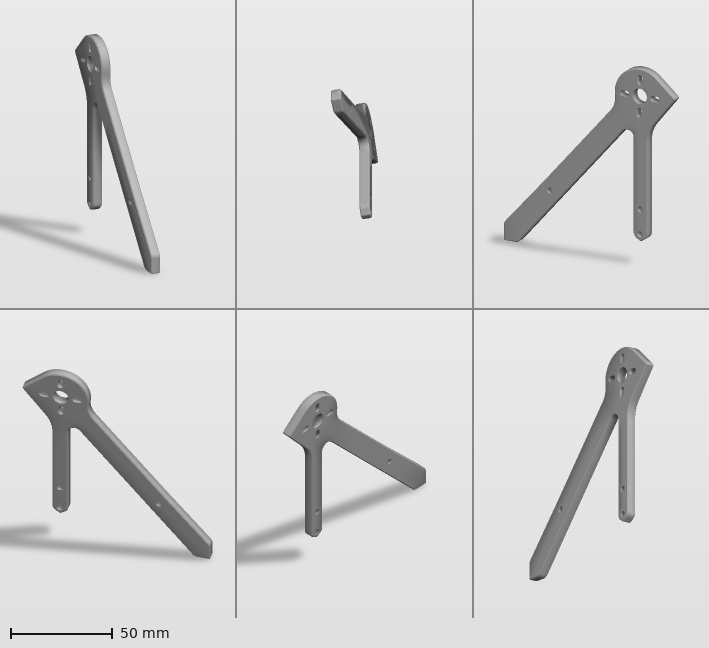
import cadquery as cq
import math

thickness = 5.0
edge_chamfer = 0.5

head_radius = 14.25
pivot_diameter = 8.0
corner_x, corner_z = -19.96, 1.48
corner_radius = 1.0
head_arc_end_angle = 134.5
head_lower_angle = 39.1

screw_diameter = 3.05
slot_length = 5.05
slot_offset = 8.5
slot_count = 4
slot_twist = 1.0

leg_width = 8.0
leg_center_x = -0.37
leg_tip_z = -75.25
leg_tip_angle = 57.0
leg_shoulder_radius = 3.0
leg_tip_radius = 0.9
leg_hole_heights = (-58.5, -71.4)

arm_angle = 41.15
arm_flare_angle = 41.9
arm_flare_x = 53.2
arm_upper_x = 7.95
arm_lower_x = -7.42
arm_end_x = 76.32
arm_end_z = -86.72
arm_hole = (50.24, -56.9)
arm_shoulder_radius = 3.0
arm_corner_radius = 0.6

leg_blend_radius = 15.0
arm_blend_radius = 10.0
crotch_radius = 3.5

arm_run = math.tan(math.radians(arm_angle))
arm_flare_run = math.tan(math.radians(arm_flare_angle))
head_lower_run = math.tan(math.radians(head_lower_angle))
leg_tip_run = math.tan(math.radians(leg_tip_angle))

leg_left_x = leg_center_x - leg_width / 2
leg_right_x = leg_center_x + leg_width / 2
leg_shoulder_z = leg_tip_z + leg_width / 2 / leg_tip_run


def on_head(angle):
    """Point of the head circle at an angle in degrees from +X."""
    turn = math.radians(angle)
    return (head_radius * math.cos(turn), head_radius * math.sin(turn))


arm_line_distance = arm_upper_x * math.cos(math.radians(arm_angle))
arm_meet_angle = arm_angle - math.degrees(math.acos(arm_line_distance / head_radius))

head_corner = (corner_x, corner_z)
arm_root = on_head(arm_meet_angle)
arm_flare_start = (arm_flare_x, (arm_upper_x - arm_flare_x) / arm_run)
arm_upper_corner = (arm_end_x, arm_flare_start[1] - (arm_end_x - arm_flare_x) / arm_flare_run)
arm_tip_corner = (arm_end_x, arm_end_z)
arm_lower_corner = (arm_lower_x - arm_run * arm_end_z, arm_end_z)
crotch = (leg_right_x, (arm_lower_x - leg_right_x) / arm_run)
leg_right_shoulder = (leg_right_x, leg_shoulder_z)
leg_tip = (leg_center_x, leg_tip_z)
leg_left_shoulder = (leg_left_x, leg_shoulder_z)
leg_root = (leg_left_x, corner_z - (leg_left_x - corner_x) / head_lower_run)

corner_radii = (
    (head_corner, corner_radius),
    (arm_root, arm_blend_radius),
    (arm_upper_corner, arm_shoulder_radius),
    (arm_tip_corner, arm_corner_radius),
    (arm_lower_corner, arm_shoulder_radius),
    (crotch, crotch_radius),
    (leg_right_shoulder, leg_shoulder_radius),
    (leg_tip, leg_tip_radius),
    (leg_left_shoulder, leg_shoulder_radius),
    (leg_root, leg_blend_radius),
)


def front_sketch():
    return cq.Workplane("XZ", origin=(0, thickness / 2, 0))


def make_plate():
    plate = (
        front_sketch()
        .moveTo(*head_corner)
        .lineTo(*on_head(head_arc_end_angle))
        .threePointArc(on_head((head_arc_end_angle + arm_meet_angle) / 2), arm_root)
        .lineTo(*arm_flare_start)
        .lineTo(*arm_upper_corner)
        .lineTo(*arm_tip_corner)
        .lineTo(*arm_lower_corner)
        .lineTo(*crotch)
        .lineTo(*leg_right_shoulder)
        .lineTo(*leg_tip)
        .lineTo(*leg_left_shoulder)
        .lineTo(*leg_root)
        .close()
        .extrude(thickness)
    )
    for (x, z), radius in corner_radii:
        corner_edge = cq.selectors.NearestToPointSelector((x, 0, z))
        plate = plate.edges("|Y").edges(corner_edge).fillet(radius)
    return plate.faces("<Y or >Y").edges().chamfer(edge_chamfer)


def make_round_holes():
    leg_holes = [(leg_center_x, z) for z in leg_hole_heights]
    screw_holes = front_sketch().pushPoints(leg_holes + [arm_hole]).circle(screw_diameter / 2)
    pivot_bore = front_sketch().circle(pivot_diameter / 2).extrude(thickness)
    return screw_holes.extrude(thickness).union(pivot_bore)


def make_slots():
    return (
        front_sketch()
        .polarArray(slot_offset, slot_twist, 360, slot_count)
        .slot2D(slot_length, screw_diameter)
        .extrude(thickness)
    )


result = make_plate().cut(make_round_holes()).cut(make_slots())